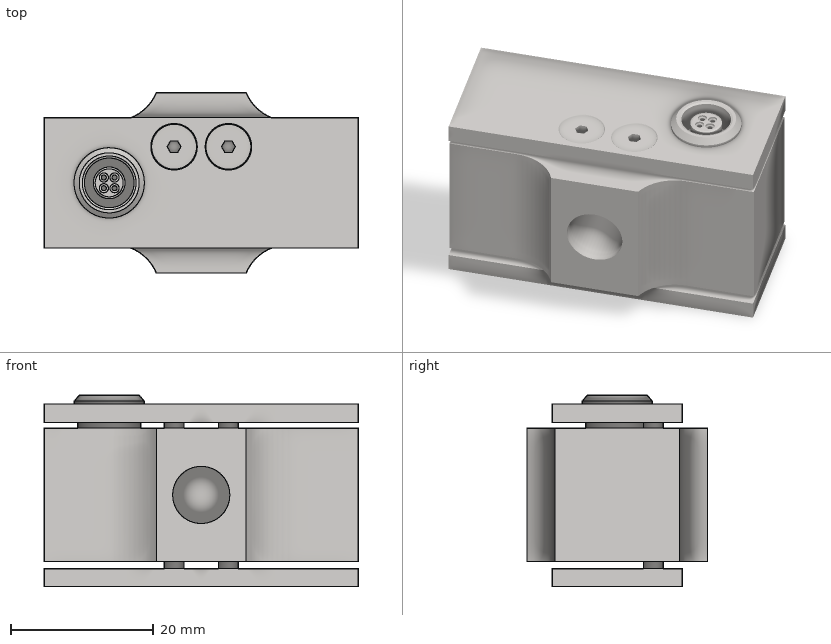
import cadquery as cq
import math

length = 44.2

lower_plate_thickness = 2.5
lower_gap = 0.97
body_height = 18.8
upper_gap = 0.8
upper_plate_thickness = 2.6
connector_height = 1.25

body_bottom = lower_plate_thickness + lower_gap
body_top = body_bottom + body_height
upper_plate_bottom = body_top + upper_gap
upper_plate_top = upper_plate_bottom + upper_plate_thickness
connector_top = upper_plate_top + connector_height

plate_width = 18.35
body_width = 17.45
pad_width = 25.4
pad_length = 12.65
pad_height = (pad_width - body_width) / 2
pad_fillet_radius = 6.4
bore_diameter = 8.05
bore_depth = 10.6

screw_spacing = 7.65
screw_y = 5.1
shank_diameter = 2.85
countersink_diameter = 6.55
head_diameter = 6.3
socket_sides = 6
socket_across_flats = 1.7
socket_across_corners = socket_across_flats / math.cos(math.pi / socket_sides)
socket_depth = 1.33

connector_x = -12.95
neck_diameter = 8.9
rim_diameter = 9.9
rim_face_diameter = 8.45
rim_edge_height = 0.4
mouth_diameter = 7.55
recess_diameter = 7.0
mouth_chamfer_height = 0.15
recess_depth = 4.0
insert_diameter = 4.45
insert_drop = 0.6
insert_chamfer_width = 0.25
insert_chamfer_height = 0.1
contact_pitch = 1.5
contact_counterbore_diameter = 1.3
contact_counterbore_depth = 0.25
contact_hole_diameter = 0.7
contact_hole_depth = 1.55


def cylinder(diameter, bottom, top, x=0.0, y=0.0):
    """Upright cylinder between two Z levels."""
    return cq.Workplane("XY", origin=(x, y, bottom)).circle(diameter / 2).extrude(top - bottom)


def plate(bottom, thickness):
    return cq.Workplane("XY", origin=(0, 0, bottom)).rect(length, plate_width).extrude(thickness)


def make_pad():
    """Pad on the -Y side, flaring into the body through arcs tangent to its face."""
    face_y = -body_width / 2
    pad_y = -pad_width / 2
    half_pad = pad_length / 2
    flare_run = math.sqrt(pad_height * (2 * pad_fillet_radius - pad_height))
    half_root = half_pad + flare_run
    return (
        cq.Workplane("XY", origin=(0, 0, body_bottom))
        .moveTo(-half_root, 0)
        .lineTo(-half_root, face_y)
        .radiusArc((-half_pad, pad_y), pad_fillet_radius)
        .lineTo(half_pad, pad_y)
        .radiusArc((half_root, face_y), pad_fillet_radius)
        .lineTo(half_root, 0)
        .close()
        .extrude(body_height)
    )


def make_bore():
    """Blind bore entering the -Y pad at mid-height."""
    middle_z = body_bottom + body_height / 2
    entry = cq.Workplane("XZ", origin=(0, -pad_width / 2, middle_z))
    return entry.circle(bore_diameter / 2).extrude(-bore_depth)


def make_body():
    block = cq.Workplane("XY", origin=(0, 0, body_bottom)).rect(length, body_width).extrude(body_height)
    pad = make_pad()
    bore = make_bore()
    block = block.union(pad).union(pad.mirror("XZ"))
    return block.cut(bore).cut(bore.mirror("XZ"))


def make_screw_recess(x):
    """Shallow conical recess above a countersunk head, with the hexagon socket below it."""
    rim_depth = (countersink_diameter - head_diameter) / 2
    head_top = upper_plate_top - rim_depth
    rim = (
        cq.Workplane("XY", origin=(x, screw_y, head_top))
        .circle(head_diameter / 2)
        .workplane(offset=rim_depth)
        .circle(countersink_diameter / 2)
        .loft()
    )
    socket = (
        cq.Workplane("XY", origin=(x, screw_y, head_top))
        .polygon(socket_sides, socket_across_corners)
        .extrude(-socket_depth)
    )
    return rim.union(socket)


def make_connector():
    """Solid rim and neck of the connector."""
    rim_chamfer_height = connector_height - rim_edge_height
    rim_chamfer_width = (rim_diameter - rim_face_diameter) / 2
    rim = (
        cylinder(rim_diameter, upper_plate_top, connector_top, connector_x)
        .faces(">Z")
        .edges()
        .chamfer(rim_chamfer_height, rim_chamfer_width)
    )
    return rim.union(cylinder(neck_diameter, body_top, upper_plate_top, connector_x))


def make_connector_recess():
    """Annular recess around an insert with four counterbored contact holes, under a chamfered mouth."""
    floor = connector_top - recess_depth
    insert_top = connector_top - insert_drop
    mouth = (
        cq.Workplane("XY", origin=(connector_x, 0, connector_top - mouth_chamfer_height))
        .circle(recess_diameter / 2)
        .workplane(offset=mouth_chamfer_height)
        .circle(mouth_diameter / 2)
        .loft()
    )
    insert = (
        cylinder(insert_diameter, floor, insert_top, connector_x)
        .faces(">Z")
        .edges()
        .chamfer(insert_chamfer_height, insert_chamfer_width)
    )
    for x_side in (-1, 1):
        for y_side in (-1, 1):
            x = connector_x + x_side * contact_pitch / 2
            y = y_side * contact_pitch / 2
            counterbore_floor = insert_top - contact_counterbore_depth
            hole_floor = insert_top - contact_hole_depth
            insert = insert.cut(cylinder(contact_counterbore_diameter, counterbore_floor, insert_top, x, y))
            insert = insert.cut(cylinder(contact_hole_diameter, hole_floor, insert_top, x, y))
    return cylinder(recess_diameter, floor, connector_top, connector_x).union(mouth).cut(insert)


result = plate(0, lower_plate_thickness).union(plate(upper_plate_bottom, upper_plate_thickness))
result = result.union(make_body()).union(make_connector())
for screw_x in (-screw_spacing / 2, screw_spacing / 2):
    result = result.union(cylinder(shank_diameter, 0, body_bottom, screw_x, screw_y))
    result = result.union(cylinder(shank_diameter, body_top, upper_plate_bottom, screw_x, screw_y))
    result = result.cut(make_screw_recess(screw_x))
result = result.cut(make_connector_recess())